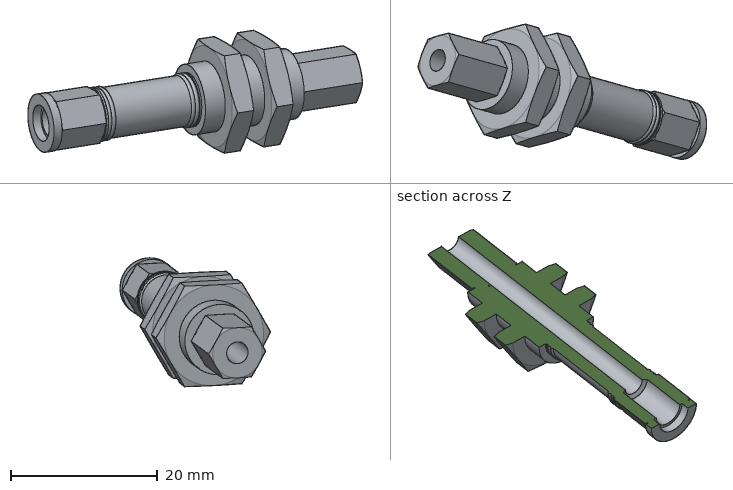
import cadquery as cq
import math

total_length = 47.2
front_fitting_length = 8.1
rear_hex_length = 9.5
body_length = 15.05
body_diameter = 9.75
tube_diameter = 7.1

shaft_flats = 7.0
nut_flats = 14.0
nut_count = 2
nut_thickness = body_length / (2 * nut_count + 1)
chamfer_angle = 15.0
corner_ratio = 2 / math.sqrt(3)

flange_thickness = 1.25
flange_diameter = shaft_flats * corner_ratio

bead_width = 0.6
beads_per_pair = 2
collar_diameter = 7.5
front_collar_width = 0.35
rear_collar_width = 0.25

counterbore_diameter = 5.0
counterbore_depth = flange_thickness
drill_diameter = 4.2
drill_depth = front_fitting_length
drill_tip_angle = 118.0
through_diameter = 3.0

rear_hex_start = total_length - rear_hex_length
body_start = rear_hex_start - body_length


def cylinder(diameter, start, length):
    """Round bar along +Y from the given station."""
    bar = cq.Workplane("XY").circle(diameter / 2).extrude(length)
    return bar.rotate((0, 0, 0), (1, 0, 0), -90).translate((0, start, 0))


def chamfered_hexagon(flats, start, length):
    """Hexagonal bar along +Y with its corners turned off conically at both ends."""
    flat_radius = flats / 2
    corner_radius = flat_radius * corner_ratio
    drop = (corner_radius - flat_radius) * math.tan(math.radians(chamfer_angle))
    hexagon = cq.Workplane("XY").polygon(6, 2 * corner_radius).extrude(length)
    hexagon = hexagon.rotate((0, 0, 0), (1, 0, 0), -90).translate((0, start, 0))
    envelope = (
        cq.Workplane("XY")
        .moveTo(0, start)
        .lineTo(flat_radius, start)
        .lineTo(corner_radius, start + drop)
        .lineTo(corner_radius, start + length - drop)
        .lineTo(flat_radius, start + length)
        .lineTo(0, start + length)
        .close()
        .revolve(360, (0, 0, 0), (0, 1, 0))
    )
    return hexagon.intersect(envelope)


def bead(start):
    """Ring on the tube with an arched crest as high as the collar."""
    tube_radius = tube_diameter / 2
    return (
        cq.Workplane("XY")
        .moveTo(0, start)
        .lineTo(tube_radius, start)
        .threePointArc((collar_diameter / 2, start + bead_width / 2), (tube_radius, start + bead_width))
        .lineTo(0, start + bead_width)
        .close()
        .revolve(360, (0, 0, 0), (0, 1, 0))
    )


def stepped_bore():
    """Counterbore, drilled bore with a conical bottom, and a narrower through hole."""
    drill_radius = drill_diameter / 2
    through_radius = through_diameter / 2
    cone_length = (drill_radius - through_radius) / math.tan(math.radians(drill_tip_angle / 2))
    return (
        cq.Workplane("XY")
        .lineTo(counterbore_diameter / 2, 0)
        .lineTo(counterbore_diameter / 2, counterbore_depth)
        .lineTo(drill_radius, counterbore_depth)
        .lineTo(drill_radius, drill_depth)
        .lineTo(through_radius, drill_depth + cone_length)
        .lineTo(through_radius, total_length)
        .lineTo(0, total_length)
        .close()
        .revolve(360, (0, 0, 0), (0, 1, 0))
    )


result = cylinder(flange_diameter, 0, flange_thickness)
front_hex_length = front_fitting_length - flange_thickness
result = result.union(chamfered_hexagon(shaft_flats, flange_thickness, front_hex_length))

result = result.union(cylinder(tube_diameter, front_fitting_length, body_start - front_fitting_length))
result = result.union(cylinder(collar_diameter, front_fitting_length, front_collar_width))
result = result.union(cylinder(collar_diameter, body_start - rear_collar_width, rear_collar_width))

front_beads_start = front_fitting_length + front_collar_width
rear_beads_start = body_start - rear_collar_width - beads_per_pair * bead_width
for pair_start in (front_beads_start, rear_beads_start):
    for index in range(beads_per_pair):
        result = result.union(bead(pair_start + index * bead_width))

result = result.union(cylinder(body_diameter, body_start, body_length))
result = result.union(chamfered_hexagon(shaft_flats, rear_hex_start, rear_hex_length))

for index in range(nut_count):
    nut_start = body_start + (2 * index + 1) * nut_thickness
    result = result.union(chamfered_hexagon(nut_flats, nut_start, nut_thickness))

result = result.cut(stepped_bore())